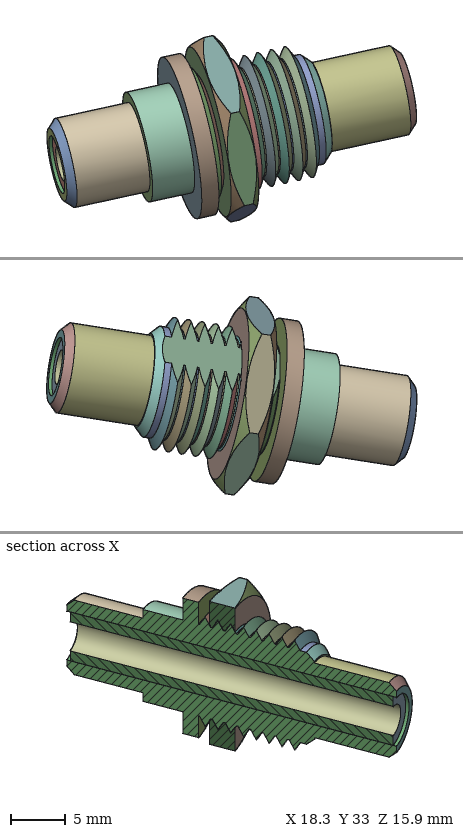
import cadquery as cq
import math


TOTAL_LENGTH = 33.02
COLLAR_START = 7.63
FLANGE_START = 11.6
FLANGE_THICKNESS = 1.62
SHOULDER_END = 24.8

BARREL_RADIUS = 4.15
BARREL_CHAMFER = 0.75
CORE_RADIUS = 5.12
CORE_CHAMFER = 0.8
FLANGE_RADIUS = 7.53

RIDGE_COUNT = 8
THREAD_LENGTH = 10.25
CREST_RADIUS = 6.1
RIDGE_FLANK_ANGLE = 30.0
FLAT_DISTANCE = 4.9

SLEEVE_RADIUS = 2.67
SLEEVE_BORE_RADIUS = 1.6
SLEEVE_RECESS = 0.33

NUT_ACROSS_FLATS = 15.88
NUT_START = 14.25
NUT_THICKNESS = 2.6
NUT_FACE_RADIUS = 7.9
NUT_CHAMFER_ANGLE = 35.0

FLANGE_END = FLANGE_START + FLANGE_THICKNESS
RIDGE_PITCH = THREAD_LENGTH / RIDGE_COUNT
RIDGE_HALF_WIDTH = (CREST_RADIUS - CORE_RADIUS) * math.tan(math.radians(RIDGE_FLANK_ANGLE))
NUT_CORNER_RADIUS = NUT_ACROSS_FLATS / 2 / math.cos(math.pi / 6)
NUT_CHAMFER_DEPTH = (NUT_CORNER_RADIUS - NUT_FACE_RADIUS) * math.tan(math.radians(NUT_CHAMFER_ANGLE))


def revolved(points):
    """Turn a closed (radius, y) outline about the Y axis."""
    profile = [(y, radius) for radius, y in points]
    return cq.Workplane("YZ").polyline(profile).close().revolve(360, (0, 0), (1, 0))


def cylinder(radius, start, end):
    """A cylinder about the Y axis between two Y positions."""
    return revolved([(0, start), (radius, start), (radius, end), (0, end)])


def make_threaded_stem():
    """The full round stem behind the flange: chamfered core plus thread ridges."""
    outline = [(0, FLANGE_END), (CORE_RADIUS, FLANGE_END)]
    for index in range(RIDGE_COUNT):
        crest_y = FLANGE_END + (index + 0.5) * RIDGE_PITCH
        outline += [
            (CORE_RADIUS, crest_y - RIDGE_HALF_WIDTH),
            (CREST_RADIUS, crest_y),
            (CORE_RADIUS, crest_y + RIDGE_HALF_WIDTH),
        ]
    outline += [
        (CORE_RADIUS, SHOULDER_END - CORE_CHAMFER),
        (CORE_RADIUS - CORE_CHAMFER, SHOULDER_END),
        (0, SHOULDER_END),
    ]
    return revolved(outline)


def cut_flat(stem):
    """Remove the -X side of the stem beyond the flat."""
    width = CREST_RADIUS - FLAT_DISTANCE
    waste = cq.Workplane("XY").box(
        width, SHOULDER_END - FLANGE_END, 2 * CREST_RADIUS, centered=(False, False, True)
    )
    return stem.cut(waste.translate((-CREST_RADIUS, FLANGE_END, 0)))


def make_housing():
    barrel = cylinder(BARREL_RADIUS, 0, TOTAL_LENGTH).faces("<Y or >Y").chamfer(BARREL_CHAMFER)
    collar = cylinder(CORE_RADIUS, COLLAR_START, FLANGE_START)
    flange = cylinder(FLANGE_RADIUS, FLANGE_START, FLANGE_END)
    stem = cut_flat(make_threaded_stem())
    bore = cylinder(SLEEVE_RADIUS, 0, TOTAL_LENGTH)
    return barrel.union(collar).union(flange).union(stem).cut(bore)


def make_sleeve():
    start = SLEEVE_RECESS
    end = TOTAL_LENGTH - SLEEVE_RECESS
    return cylinder(SLEEVE_RADIUS, start, end).cut(cylinder(SLEEVE_BORE_RADIUS, start, end))


def make_nut():
    """Hex nut with corners on the X axis, both ends chamfered, bore matching the thread."""
    nut_end = NUT_START + NUT_THICKNESS
    hexagon = (
        cq.Workplane("XZ", origin=(0, NUT_START, 0))
        .polygon(6, 2 * NUT_CORNER_RADIUS)
        .extrude(-NUT_THICKNESS)
    )
    chamfer_envelope = revolved([
        (0, NUT_START),
        (NUT_FACE_RADIUS, NUT_START),
        (NUT_CORNER_RADIUS, NUT_START + NUT_CHAMFER_DEPTH),
        (NUT_CORNER_RADIUS, nut_end - NUT_CHAMFER_DEPTH),
        (NUT_FACE_RADIUS, nut_end),
        (0, nut_end),
    ])
    return hexagon.intersect(chamfer_envelope).cut(make_threaded_stem())


housing = make_housing()
sleeve = make_sleeve()
nut = make_nut()

result = cq.Compound.makeCompound([housing.val(), sleeve.val(), nut.val()])